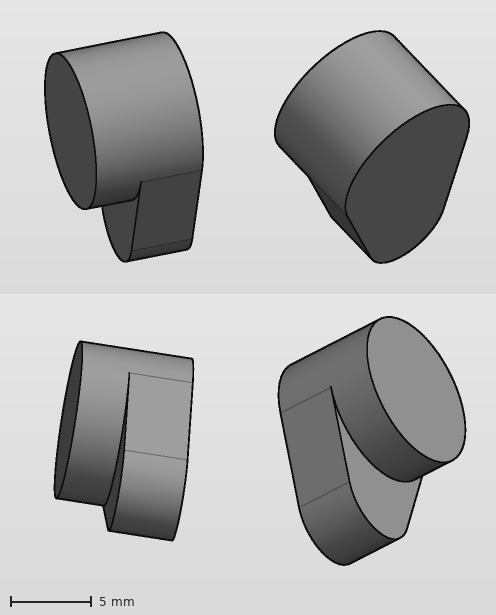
import cadquery as cq
import math

total_height = 14.91
head_diameter = 9.85
head_length = 7.0
arm_thickness = 4.0
tip_radius = 3.0

head_radius = head_diameter / 2
tip_z = -(total_height - head_radius - tip_radius)

flank_angle = math.asin((head_radius - tip_radius) / tip_z)


def flank_point(radius, center_z, side):
    """Point where a tangent flank meets a circle; side is -1 or +1 in X."""
    x = side * radius * math.cos(flank_angle)
    z = center_z + radius * math.sin(flank_angle)
    return x, z


def make_head():
    """Round head, from its back face at Y = 0 toward -Y."""
    return cq.Workplane("XZ").circle(head_radius).extrude(head_length)


def make_arm():
    """Tapered arm with a round tip, flush with the back of the head."""
    return (
        cq.Workplane("XZ")
        .moveTo(*flank_point(head_radius, 0, -1))
        .lineTo(*flank_point(tip_radius, tip_z, -1))
        .threePointArc((0, tip_z - tip_radius), flank_point(tip_radius, tip_z, 1))
        .lineTo(*flank_point(head_radius, 0, 1))
        .threePointArc((0, head_radius), flank_point(head_radius, 0, -1))
        .close()
        .extrude(arm_thickness)
    )


result = make_head().union(make_arm())